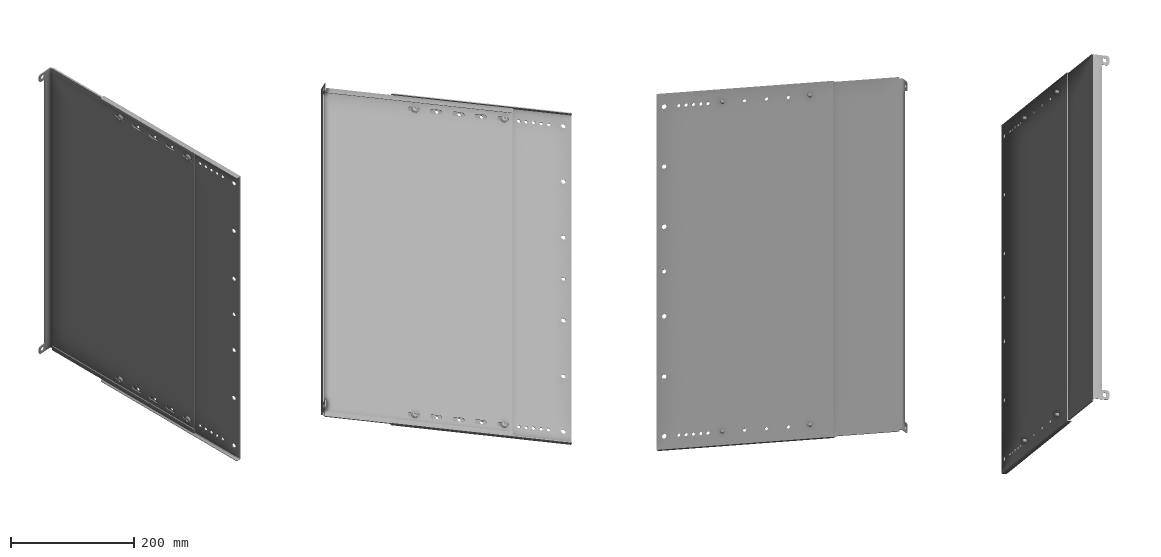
import cadquery as cq

SHEET = 1.5
WIDTH = 420.0
HEIGHT = 594.5

PLATE_LEFT = 117.0
PLATE_DEPTH = 8.5
FLANGE_CHAMFER = 2.0
EDGE_HOLE_X = 406.5
EDGE_HOLE_DIAMETER = 8.0
CENTER_HOLE_DIAMETER = 6.5
ROW_Z = 275.0
EDGE_HOLE_HEIGHTS = [75.0, 175.5, ROW_Z]
BOLT_DIAMETER = 6.0
ADJUSTING_HOLE_DIAMETER = 5.5
HOLE_PITCH = 12.5
EXPOSED_HOLES = 5
EXPOSED_HOLE_X = 332.0

PANEL_RIGHT = 321.0
PANEL_HALF_HEIGHT = HEIGHT / 2 - SHEET
PANEL_REAR = -SHEET
PANEL_FRONT = PANEL_REAR - SHEET
HEM_LEFT = 6.0
HEM_WIDTH = 8.5
HEM_DEPTH = 2 * SHEET
END_STEP = 2.5
END_HALF_HEIGHT = PANEL_HALF_HEIGHT - END_STEP
END_FLANGE_FRONT = -16.5
EAR_FRONT = -30.0
EAR_HEIGHT = 16.0
EAR_RADIUS = 5.0
EAR_HOLE_DIAMETER = 7.0
SLOT_COUNT = 5
PITCHES_PER_SLOT = 3
SLOT_PITCH = PITCHES_PER_SLOT * HOLE_PITCH
SLOT_LENGTH = 20.0
SLOT_WIDTH = 8.0
SLOT_HOLE_OFFSET = 2.0

HEAD_DIAMETER = 12.0
HEAD_HEIGHT = 3.0
HEAD_CHAMFER = 2.0
SOCKET_DIAMETER = 4.0
SOCKET_DEPTH = 1.5
BOLT_TIP = 6.0
TIP_CHAMFER = 1.0

LAST_SLOT_HOLE_X = EXPOSED_HOLE_X - 2 * HOLE_PITCH
SLOT_HOLE_XS = [LAST_SLOT_HOLE_X - i * SLOT_PITCH for i in range(SLOT_COUNT)]
BOLT_XS = [SLOT_HOLE_XS[0], SLOT_HOLE_XS[-1]]
EXPOSED_HOLE_XS = [EXPOSED_HOLE_X + i * HOLE_PITCH for i in range(EXPOSED_HOLES)]


def block(x_range, y_range, z_range):
    """Box between the given limits, each given as (low, high)."""
    limits = (x_range, y_range, z_range)
    sizes = [high - low for low, high in limits]
    corner = tuple(low for low, high in limits)
    return cq.Workplane("XY").box(*sizes, centered=False).translate(corner)


def cylinders_y(points, diameter, rear, front):
    """Cylinders along Y at the given (x, z) points, from y = rear forward to y = front."""
    plane = cq.Workplane("XZ", origin=(0, rear, 0))
    return plane.pushPoints(points).circle(diameter / 2).extrude(rear - front)


def at_both_rows(xs):
    """(x, z) points of the lower and the upper row."""
    return [(x, side * ROW_Z) for x in xs for side in (-1, 1)]


def make_plate():
    half = HEIGHT / 2
    plate = block((PLATE_LEFT, WIDTH), (-SHEET, 0), (-half, half))
    flange = block((PLATE_LEFT, WIDTH), (-PLATE_DEPTH, 0), (half - SHEET, half))
    flange = flange.edges("|Z and <Y").chamfer(FLANGE_CHAMFER)
    plate = plate.union(flange).union(flange.mirror("XY"))

    adjusting_holes = at_both_rows(SLOT_HOLE_XS[1:-1] + EXPOSED_HOLE_XS)
    edge_holes = [(EDGE_HOLE_X, side * z) for z in EDGE_HOLE_HEIGHTS for side in (-1, 1)]
    plate = plate.cut(cylinders_y(adjusting_holes, ADJUSTING_HOLE_DIAMETER, 0, -SHEET))
    plate = plate.cut(cylinders_y(at_both_rows(BOLT_XS), BOLT_DIAMETER, 0, -SHEET))
    plate = plate.cut(cylinders_y(edge_holes, EDGE_HOLE_DIAMETER, 0, -SHEET))
    return plate.cut(cylinders_y([(EDGE_HOLE_X, 0)], CENTER_HOLE_DIAMETER, 0, -SHEET))


def make_hem():
    """Upper edge of the panel, folded flat onto the front of its web."""
    top = PANEL_HALF_HEIGHT
    return block((HEM_LEFT, PANEL_RIGHT), (PANEL_REAR - HEM_DEPTH, PANEL_REAR), (top - HEM_WIDTH, top))


def make_ear():
    """Drilled upper ear at the front of the end flange."""
    bottom = END_HALF_HEIGHT - EAR_HEIGHT
    hole_center = (0, EAR_FRONT + EAR_HEIGHT / 2, bottom + EAR_HEIGHT / 2)
    ear = block((0, SHEET), (EAR_FRONT, PANEL_REAR), (bottom, END_HALF_HEIGHT))
    ear = ear.edges("|X and <Y").fillet(EAR_RADIUS)
    hole = cq.Workplane("YZ", origin=hole_center).circle(EAR_HOLE_DIAMETER / 2).extrude(SHEET)
    return ear.cut(hole)


def make_end():
    """Left end of the panel, bent forward into the end flange with its ears."""
    end_z = (-END_HALF_HEIGHT, END_HALF_HEIGHT)
    web = block((0, HEM_LEFT), (PANEL_FRONT, PANEL_REAR), end_z)
    flange = block((0, SHEET), (END_FLANGE_FRONT, PANEL_REAR), end_z)
    ear = make_ear()
    return web.union(flange).union(ear).union(ear.mirror("XY"))


def make_panel():
    panel_z = (-PANEL_HALF_HEIGHT, PANEL_HALF_HEIGHT)
    web = block((HEM_LEFT, PANEL_RIGHT), (PANEL_FRONT, PANEL_REAR), panel_z)
    hem = make_hem()
    panel = web.union(hem).union(hem.mirror("XY")).union(make_end())

    slots = (
        cq.Workplane("XZ", origin=(0, PANEL_REAR, 0))
        .pushPoints(at_both_rows([x - SLOT_HOLE_OFFSET for x in SLOT_HOLE_XS]))
        .slot2D(SLOT_LENGTH, SLOT_WIDTH)
        .extrude(SHEET)
    )
    return panel.cut(slots)


def make_bolt(x, z):
    """Socket bolt with its head on the panel and its tip behind the plate."""
    head_top = PANEL_FRONT - HEAD_HEIGHT
    shank = cylinders_y([(x, z)], BOLT_DIAMETER, BOLT_TIP, PANEL_FRONT)
    shank = shank.faces(">Y").chamfer(TIP_CHAMFER)
    head = cylinders_y([(x, z)], HEAD_DIAMETER, PANEL_FRONT, head_top)
    head = head.faces("<Y").chamfer(HEAD_CHAMFER)
    socket = cylinders_y([(x, z)], SOCKET_DIAMETER, head_top + SOCKET_DEPTH, head_top)
    return shank.union(head).cut(socket)


plate = make_plate()
panel = make_panel()
bolts = [make_bolt(x, z) for x, z in at_both_rows(BOLT_XS)]

result = cq.Compound.makeCompound([plate.val(), panel.val(), *[bolt.val() for bolt in bolts]])